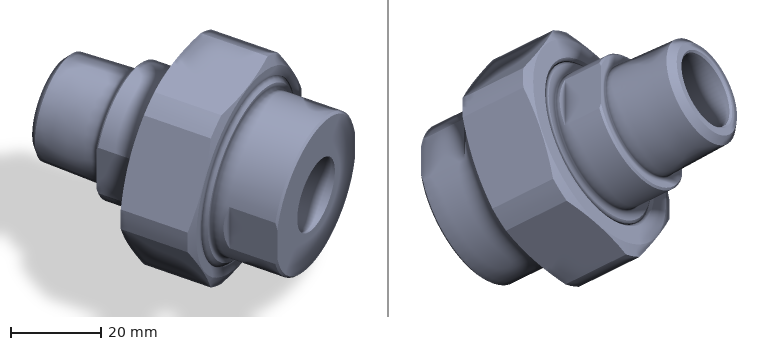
import cadquery as cq
import math

LENGTH = 65.0
BORE_R = 18.0 / 2

MALE_END_R = 11.25
SPIGOT_TIP_R = 12.95
SPIGOT_CHAMFER_LENGTH = 1.55
SPIGOT_ROOT_R = 13.5
SPIGOT_ROOT_FILLET = 0.25
BORE_CHAMFER = 0.45
COLLAR_X = 18.0
COLLAR_R = 33.0 / 2
COLLAR_CHAMFER = 0.45
COLLAR_ROOT_FILLET = 0.3
MALE_FLAT_Y = 15.1
MALE_FLAT_END_X = 27.95
MALE_FLAT_RUNOUT = 0.4
NECK_X = 29.5
NECK_R = 39.0 / 2
NECK_CHAMFER = 0.5
FLANGE_R = 43.0 / 2
FLANGE_LENGTH = 3.9

NUT_X = 29.5
NUT_LENGTH = 18.5
NUT_ACROSS_FLATS = 50.0
NUT_CORNER_R = 54.65 / 2
NUT_FACE_R = 24.75
NUT_CHAMFER_LENGTH = 0.9
LIP_R = 39.5 / 2
LIP_CHAMFER = 0.6
LIP_LENGTH = 3.9

THREAD_R = 44.85 / 2
THREAD_END_X = 49.0
THREAD_CHAMFER = 1.35
SOCKET_R = 39.0 / 2
SOCKET_ROOT_FILLET = 0.65
SOCKET_CHAMFER = 0.5
FEMALE_FLAT_Y = 18.5
FEMALE_FLAT_START_X = 53.05

LIP_END_X = NUT_X + LIP_LENGTH
JOINT_X = LIP_END_X + FLANGE_LENGTH
NUT_END_X = NUT_X + NUT_LENGTH


def turned(profile):
    """Revolve a closed (x, radius) profile about the X axis."""
    return profile.close().revolve(360, (0, 0, 0), (1, 0, 0))


def cut_wrench_flats(body, profile, height):
    """Remove the (x, y) profile, and its mirror in the XZ plane, through the given height."""
    cutter = cq.Workplane("XY").polyline(profile).close().extrude(height, both=True)
    return body.cut(cutter).cut(cutter.mirror("XZ")).solids()


def fillet_middle(corner_x, corner_r, radius, axial_direction):
    """Midpoint of a concave quarter arc in the corner between a shaft and a face."""
    offset = radius * (1 - math.sqrt(0.5))
    return corner_x + axial_direction * offset, corner_r + offset


def make_male_tailpiece():
    body = turned(
        cq.Workplane("XY")
        .moveTo(BORE_CHAMFER, BORE_R)
        .lineTo(0, BORE_R + BORE_CHAMFER)
        .lineTo(0, MALE_END_R)
        .lineTo(SPIGOT_CHAMFER_LENGTH, SPIGOT_TIP_R)
        .lineTo(COLLAR_X - SPIGOT_ROOT_FILLET, SPIGOT_ROOT_R)
        .threePointArc(
            fillet_middle(COLLAR_X, SPIGOT_ROOT_R, SPIGOT_ROOT_FILLET, -1),
            (COLLAR_X, SPIGOT_ROOT_R + SPIGOT_ROOT_FILLET),
        )
        .lineTo(COLLAR_X, COLLAR_R - COLLAR_CHAMFER)
        .lineTo(COLLAR_X + COLLAR_CHAMFER, COLLAR_R)
        .lineTo(NECK_X - COLLAR_ROOT_FILLET, COLLAR_R)
        .threePointArc(
            fillet_middle(NECK_X, COLLAR_R, COLLAR_ROOT_FILLET, -1),
            (NECK_X, COLLAR_R + COLLAR_ROOT_FILLET),
        )
        .lineTo(NECK_X, NECK_R - NECK_CHAMFER)
        .lineTo(NECK_X + NECK_CHAMFER, NECK_R)
        .lineTo(LIP_END_X, NECK_R)
        .lineTo(LIP_END_X, FLANGE_R)
        .lineTo(JOINT_X, FLANGE_R)
        .lineTo(JOINT_X, BORE_R)
    )
    flat_profile = [
        (COLLAR_X, MALE_FLAT_Y),
        (MALE_FLAT_END_X, MALE_FLAT_Y),
        (MALE_FLAT_END_X + MALE_FLAT_RUNOUT, COLLAR_R),
        (COLLAR_X, COLLAR_R),
    ]
    return cut_wrench_flats(body, flat_profile, COLLAR_R)


def make_nut():
    hexagon = (
        cq.Workplane("YZ", origin=(NUT_X, 0, 0))
        .polygon(6, NUT_ACROSS_FLATS / math.cos(math.pi / 6))
        .extrude(NUT_LENGTH)
    )
    envelope = turned(
        cq.Workplane("XY")
        .moveTo(NUT_X, LIP_R + LIP_CHAMFER)
        .lineTo(NUT_X, NUT_FACE_R)
        .lineTo(NUT_X + NUT_CHAMFER_LENGTH, NUT_CORNER_R)
        .lineTo(NUT_END_X - NUT_CHAMFER_LENGTH, NUT_CORNER_R)
        .lineTo(NUT_END_X, NUT_FACE_R)
        .lineTo(NUT_END_X, THREAD_R)
        .lineTo(LIP_END_X, THREAD_R)
        .lineTo(LIP_END_X, LIP_R)
        .lineTo(NUT_X + LIP_CHAMFER, LIP_R)
    )
    return hexagon.intersect(envelope).solids()


def make_female_tailpiece():
    body = turned(
        cq.Workplane("XY")
        .moveTo(JOINT_X, BORE_R)
        .lineTo(JOINT_X, THREAD_R)
        .lineTo(THREAD_END_X - THREAD_CHAMFER, THREAD_R)
        .lineTo(THREAD_END_X, THREAD_R - THREAD_CHAMFER)
        .lineTo(THREAD_END_X, SOCKET_R + SOCKET_ROOT_FILLET)
        .threePointArc(
            fillet_middle(THREAD_END_X, SOCKET_R, SOCKET_ROOT_FILLET, 1),
            (THREAD_END_X + SOCKET_ROOT_FILLET, SOCKET_R),
        )
        .lineTo(LENGTH - SOCKET_CHAMFER, SOCKET_R)
        .lineTo(LENGTH, SOCKET_R - SOCKET_CHAMFER)
        .lineTo(LENGTH, BORE_R)
    )
    flat_depth = SOCKET_R - FEMALE_FLAT_Y
    flat_profile = [
        (FEMALE_FLAT_START_X, FEMALE_FLAT_Y),
        (LENGTH, FEMALE_FLAT_Y),
        (LENGTH, SOCKET_R),
        (FEMALE_FLAT_START_X - flat_depth, SOCKET_R),
    ]
    return cut_wrench_flats(body, flat_profile, SOCKET_R)


male_tailpiece = make_male_tailpiece()
nut = make_nut()
female_tailpiece = make_female_tailpiece()

result = cq.Compound.makeCompound([male_tailpiece.val(), nut.val(), female_tailpiece.val()])